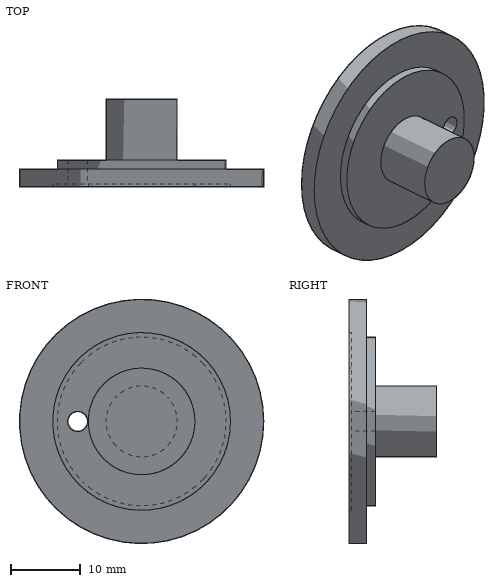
import cadquery as cq

flange_diameter = 34.925
flange_thickness = 2.54

step_diameter = 24.13
step_thickness = 1.27
stem_diameter = 10.16
overall_length = 12.54
stem_length = overall_length - flange_thickness - step_thickness

recess_outer_diameter = 25.4
pad_diameter = 15.24
recess_depth = 0.381

hole_diameter = 2.8
hole_offset = 9.14


def disc(diameter, start_y, length):
    """Cylinder on the Y axis from start_y toward +Y."""
    return cq.Workplane("XZ", origin=(0, start_y, 0)).circle(diameter / 2).extrude(-length)


def turned_body():
    """Flange, step and stem stacked along the Y axis."""
    flange = disc(flange_diameter, 0, flange_thickness)
    step = disc(step_diameter, flange_thickness, step_thickness)
    stem = disc(stem_diameter, flange_thickness + step_thickness, stem_length)
    return flange.union(step).union(stem)


def ring_recess():
    """Ring of material removed between the flange rim and the centre pad."""
    return disc(recess_outer_diameter, 0, recess_depth).cut(disc(pad_diameter, 0, recess_depth))


def through_hole():
    """Hole through the flange and step, parallel to the Y axis."""
    return disc(hole_diameter, 0, flange_thickness + step_thickness).translate((-hole_offset, 0, 0))


result = turned_body().cut(ring_recess()).cut(through_hole())